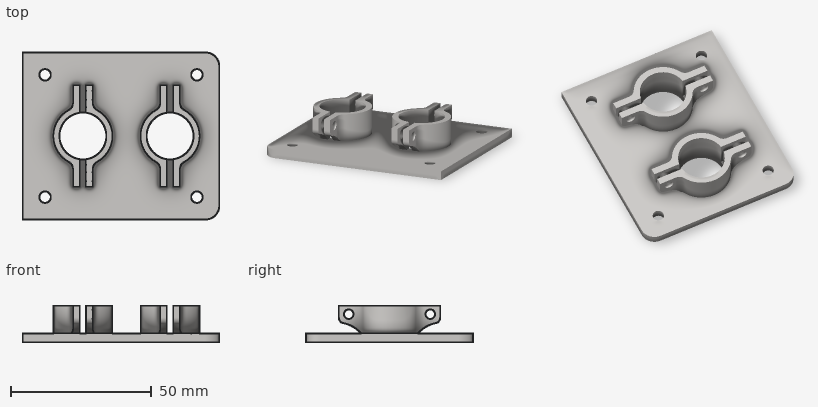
import cadquery as cq
import math

plate_length = 70.0
plate_width = 59.5
plate_thickness = 3.2
plate_corner_radius = 5.0

mount_hole_diameter = 4.0
mount_hole_inset = 8.0

total_height = 13.0
clamp_height = total_height - plate_thickness
bore_diameter = 16.61
ring_radius = 10.5
clamp_spacing = 31.0
first_clamp_from_edge = 21.45
first_clamp_x = first_clamp_from_edge - plate_length / 2
clamp_centers = [(first_clamp_x, 0), (first_clamp_x + clamp_spacing, 0)]

split_width = 2.2
ear_pair_width = 7.0
ear_reach = 18.05
ear_root_radius = 3.0
ear_corner_radius = 2.0
ear_end_height = 4.25
ear_underside_radius = 11.0
ear_foot_offset = 10.2

screw_hole_diameter = 3.3
screw_hole_offset = 14.5
screw_hole_z = 10.0


def make_plate():
    """Plate with its two +X corners rounded and a screw hole near each corner."""
    plate = cq.Workplane("XY").box(plate_length, plate_width, plate_thickness, centered=(True, True, False))
    plate = plate.edges("|Z and >X").fillet(plate_corner_radius)
    holes = (
        cq.Workplane("XY")
        .rect(plate_length - 2 * mount_hole_inset, plate_width - 2 * mount_hole_inset, forConstruction=True)
        .vertices()
        .circle(mount_hole_diameter / 2)
        .extrude(plate_thickness)
    )
    return plate.cut(holes)


def make_clamp_blank():
    """Ring with an ear on +Y and on -Y, blended into the ring by root fillets."""
    half_width = ear_pair_width / 2
    root_x = half_width + ear_root_radius
    root_y = math.sqrt((ring_radius + ear_root_radius) ** 2 - root_x**2)
    tangent_ratio = ring_radius / (ring_radius + ear_root_radius)
    tangent_x = root_x * tangent_ratio
    tangent_y = root_y * tangent_ratio
    return (
        cq.Workplane("XY")
        .workplane(offset=plate_thickness)
        .moveTo(half_width, ear_reach)
        .lineTo(half_width, root_y)
        .radiusArc((tangent_x, tangent_y), -ear_root_radius)
        .threePointArc((ring_radius, 0), (tangent_x, -tangent_y))
        .radiusArc((half_width, -root_y), -ear_root_radius)
        .lineTo(half_width, -ear_reach)
        .lineTo(-half_width, -ear_reach)
        .lineTo(-half_width, -root_y)
        .radiusArc((-tangent_x, -tangent_y), -ear_root_radius)
        .threePointArc((-ring_radius, 0), (-tangent_x, tangent_y))
        .radiusArc((-half_width, root_y), -ear_root_radius)
        .lineTo(-half_width, ear_reach)
        .close()
        .extrude(clamp_height)
    )


def make_ear_relief():
    """Space under the +Y ear: a rounded lower corner, then a hollow sweep down to the plate."""
    corner_y = ear_reach - ear_corner_radius
    corner_z = total_height - ear_end_height
    foot_dy = ear_foot_offset - corner_y
    foot_dz = plate_thickness - corner_z
    foot_distance = math.hypot(foot_dy, foot_dz)
    center_distance = ear_corner_radius + ear_underside_radius
    angle_cosine = (center_distance**2 + foot_distance**2 - ear_underside_radius**2) / (
        2 * center_distance * foot_distance
    )
    sweep_direction = math.atan2(foot_dz, foot_dy) + math.acos(angle_cosine)
    blend_y = corner_y + ear_corner_radius * math.cos(sweep_direction)
    blend_z = corner_z + ear_corner_radius * math.sin(sweep_direction)
    return (
        cq.Workplane("YZ")
        .moveTo(ear_foot_offset, plate_thickness)
        .radiusArc((blend_y, blend_z), ear_underside_radius)
        .radiusArc((ear_reach, corner_z), -ear_corner_radius)
        .lineTo(ear_reach, plate_thickness)
        .close()
        .extrude(ring_radius, both=True)
    )


def make_clamp():
    """Split clamp standing on the plate, centred on X = Y = 0; its bore is cut later."""
    clamp = make_clamp_blank()
    relief = make_ear_relief()
    clamp = clamp.cut(relief).cut(relief.mirror("XZ"))
    split = (
        cq.Workplane("XY")
        .workplane(offset=plate_thickness)
        .rect(split_width, 2 * ear_reach)
        .extrude(clamp_height)
    )
    screw_holes = (
        cq.Workplane("YZ")
        .pushPoints([(-screw_hole_offset, screw_hole_z), (screw_hole_offset, screw_hole_z)])
        .circle(screw_hole_diameter / 2)
        .extrude(ear_pair_width, both=True)
    )
    return clamp.cut(split).cut(screw_holes)


def make_bores():
    """Round openings through both clamps and the plate."""
    return cq.Workplane("XY").pushPoints(clamp_centers).circle(bore_diameter / 2).extrude(total_height)


result = make_plate()
clamp = make_clamp()
for center_x, center_y in clamp_centers:
    result = result.union(clamp.translate((center_x, center_y, 0)))
result = result.cut(make_bores())